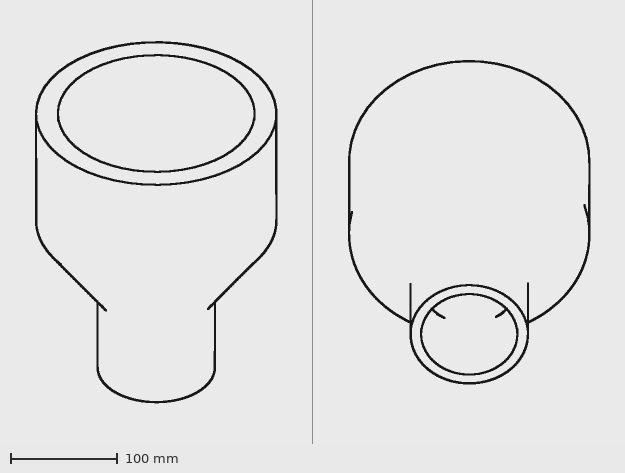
import cadquery as cq

large_outer_diameter = 225.0
large_wall = 20.5
small_outer_diameter = 110.0
small_wall = 10.0

total_length = 295.0
small_length = 87.0
large_length = 125.0

outer_blend_radius = 2.0
bore_blend_radius = 6.0

large_outer_radius = large_outer_diameter / 2
large_bore_radius = large_outer_radius - large_wall
small_outer_radius = small_outer_diameter / 2
small_bore_radius = small_outer_radius - small_wall
cone_top = total_length - large_length


def stepped_cone(small_radius, large_radius, blend_radius):
    """Solid of revolution about Z: small cylinder, blended cone, large cylinder."""
    solid = (
        cq.Workplane("XZ")
        .moveTo(0, 0)
        .lineTo(small_radius, 0)
        .lineTo(small_radius, small_length)
        .lineTo(large_radius, cone_top)
        .lineTo(large_radius, total_length)
        .lineTo(0, total_length)
        .close()
        .revolve(360, (0, 0), (0, 1))
    )
    cone_edges = solid.edges("%CIRCLE").edges("(not <Z) and (not >Z)")
    return cone_edges.fillet(blend_radius)


body = stepped_cone(small_outer_radius, large_outer_radius, outer_blend_radius)
bore = stepped_cone(small_bore_radius, large_bore_radius, bore_blend_radius)
result = body.cut(bore)